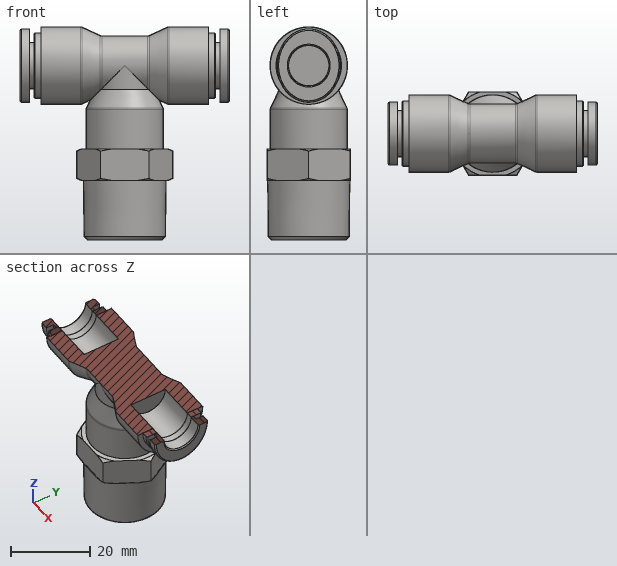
import cadquery as cq
import math

TOTAL_HEIGHT = 53.75
TOTAL_LENGTH = 52.8
END_X = TOTAL_LENGTH / 2

SOCKET_RADIUS = 19.5 / 2
WAIST_RADIUS = 7.45
WAIST_HALF_LENGTH = 5.95
TAPER_END = 10.9
SOCKET_END = 21.1
INNER_BLEND_RADIUS = 1.2
OUTER_BLEND_RADIUS = 0.85
RUN_AXIS_Z = TOTAL_HEIGHT - SOCKET_RADIUS

COLLAR_RADIUS = 16.5 / 2
COLLAR_LENGTH = 1.8
COLLAR_CHAMFER = 0.3
COLLAR_END = SOCKET_END + COLLAR_LENGTH

FLANGE_HEIGHT = 18.5
FLANGE_WIDTH = 15.95
FLANGE_THICKNESS = 2.4
FLANGE_CHAMFER = 0.4
NECK_RADIUS = 11.7 / 2
MOUTH_CHAMFER = 0.3

RING_BORE_RADIUS = 10.15 / 2
TUBE_BORE_RADIUS = 10.2 / 2

HEX_ACROSS_FLATS = 21.0
HEX_TOP_Z = 23.0
HEX_HEIGHT = 7.95
HEX_FACE_RADIUS = 10.95
HEX_CHAMFER_ANGLE = 25.0
THREAD_TOP_RADIUS = 10.45
THREAD_BOTTOM_RADIUS = 10.25
THREAD_CHAMFER = 0.95
HEX_BOTTOM_Z = HEX_TOP_Z - HEX_HEIGHT


def revolve_about_z(points):
    """Revolve an outline of (radius, height) points around the Z axis."""
    return cq.Workplane("XZ").polyline(points).close().revolve(360, (0, 0, 0), (0, 1, 0))


def make_cylinder(radius, start, end):
    """Cylinder on the Z axis between two heights."""
    return cq.Workplane("XY", origin=(0, 0, start)).circle(radius).extrude(end - start)


def point_along_x(part, side):
    """Turn a part built upwards from the tee centre so that it points along +X or -X."""
    turned = part.rotate((0, 0, 0), (0, 1, 0), side * 90)
    return turned.translate((0, 0, RUN_AXIS_Z))


def blend_circle(part, radius, height, blend_radius):
    """Fillet the horizontal circular edge with the given radius and height."""
    margin = 0.05
    reach = radius + margin
    box = cq.selectors.BoxSelector(
        (-reach, -reach, height - margin), (reach, reach, height + margin), boundingbox=True
    )
    return part.edges(box).fillet(blend_radius)


def make_limb(length):
    """One limb of the tee: half a waist, a taper and a cylinder, pointing up from the origin."""
    limb = revolve_about_z([
        (0, 0),
        (WAIST_RADIUS, 0),
        (WAIST_RADIUS, WAIST_HALF_LENGTH),
        (SOCKET_RADIUS, TAPER_END),
        (SOCKET_RADIUS, length),
        (0, length),
    ])
    return blend_circle(limb, SOCKET_RADIUS, TAPER_END, OUTER_BLEND_RADIUS)


def make_socket_limb():
    """A limb of the run, with the foot of its taper rounded."""
    return blend_circle(make_limb(SOCKET_END), WAIST_RADIUS, WAIST_HALF_LENGTH, INNER_BLEND_RADIUS)


def make_tee():
    """Branch down to the stud, and two sockets of the run with blind tube bores."""
    branch = make_limb(RUN_AXIS_Z - HEX_TOP_Z)
    tee = branch.rotate((0, 0, 0), (1, 0, 0), 180).translate((0, 0, RUN_AXIS_Z))
    for side in (1, -1):
        tee = tee.union(point_along_x(make_socket_limb(), side))
    bore = make_cylinder(TUBE_BORE_RADIUS, TAPER_END, SOCKET_END)
    for side in (1, -1):
        tee = tee.cut(point_along_x(bore, side))
    return tee


def make_collar(side):
    """Ring against the socket mouth, chamfered at its outer end."""
    collar = make_cylinder(COLLAR_RADIUS, SOCKET_END, COLLAR_END).faces(">Z").chamfer(COLLAR_CHAMFER)
    bore = make_cylinder(TUBE_BORE_RADIUS, SOCKET_END, COLLAR_END)
    return point_along_x(collar.cut(bore), side)


def make_release_ring(side):
    """Neck with an oval flange, bored for the tube and chamfered at the mouth."""
    flange_start = END_X - FLANGE_THICKNESS
    flange = (
        cq.Workplane("XY", origin=(0, 0, flange_start))
        .ellipse(FLANGE_HEIGHT / 2, FLANGE_WIDTH / 2)
        .extrude(FLANGE_THICKNESS)
        .faces(">Z")
        .chamfer(FLANGE_CHAMFER)
    )
    neck = make_cylinder(NECK_RADIUS, COLLAR_END, flange_start)
    bore = revolve_about_z([
        (0, COLLAR_END),
        (RING_BORE_RADIUS, COLLAR_END),
        (RING_BORE_RADIUS, END_X - MOUTH_CHAMFER),
        (RING_BORE_RADIUS + MOUTH_CHAMFER, END_X),
        (0, END_X),
    ])
    return point_along_x(flange.union(neck).cut(bore), side)


def make_stud():
    """Hexagon with both ends chamfered, above a tapered thread blank."""
    across_corners = HEX_ACROSS_FLATS / math.cos(math.radians(30))
    corner_radius = across_corners / 2
    corner_drop = (corner_radius - HEX_FACE_RADIUS) * math.tan(math.radians(HEX_CHAMFER_ANGLE))
    hexagon = cq.Workplane("XY", origin=(0, 0, HEX_BOTTOM_Z)).polygon(6, across_corners).extrude(HEX_HEIGHT)
    chamfer_envelope = revolve_about_z([
        (0, HEX_BOTTOM_Z),
        (HEX_FACE_RADIUS, HEX_BOTTOM_Z),
        (corner_radius, HEX_BOTTOM_Z + corner_drop),
        (corner_radius, HEX_TOP_Z - corner_drop),
        (HEX_FACE_RADIUS, HEX_TOP_Z),
        (0, HEX_TOP_Z),
    ])
    thread = revolve_about_z([
        (0, 0),
        (THREAD_BOTTOM_RADIUS - THREAD_CHAMFER, 0),
        (THREAD_BOTTOM_RADIUS, THREAD_CHAMFER),
        (THREAD_TOP_RADIUS, HEX_BOTTOM_Z),
        (0, HEX_BOTTOM_Z),
    ])
    return hexagon.intersect(chamfer_envelope).union(thread)


tee = make_tee()
stud = make_stud()
collars = [make_collar(side) for side in (-1, 1)]
release_rings = [make_release_ring(side) for side in (-1, 1)]

bodies = [tee, stud, *collars, *release_rings]
result = cq.Compound.makeCompound([body.val() for body in bodies])